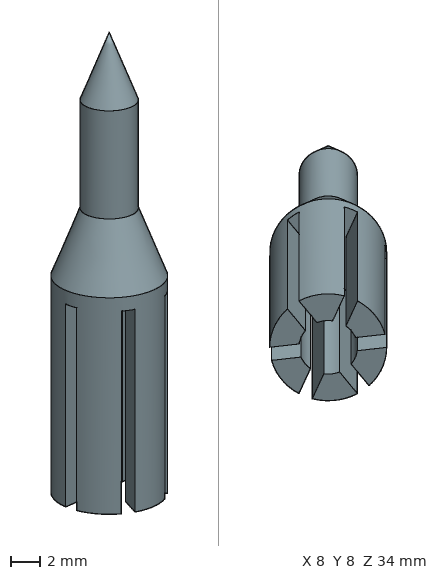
import cadquery as cq

total_height = 34.0
body_diameter = 8.0
cone_height = 5.0
shaft_height = 8.0
slot_height = 15.0
slot_width = 1.0
slot_count = 6

body_radius = body_diameter / 2
shaft_radius = body_radius / 2
bore_radius = body_radius / 2
body_height = total_height - 2 * cone_height - shaft_height
shaft_bottom = body_height + cone_height
shaft_top = shaft_bottom + shaft_height


def make_turned_body():
    """Solid of revolution: wide body, shoulder cone, slim shaft and pointed tip."""
    return (
        cq.Workplane("XZ")
        .moveTo(0, 0)
        .lineTo(body_radius, 0)
        .lineTo(body_radius, body_height)
        .lineTo(shaft_radius, shaft_bottom)
        .lineTo(shaft_radius, shaft_top)
        .lineTo(0, total_height)
        .close()
        .revolve(360, (0, 0, 0), (0, 1, 0))
    )


def make_bore():
    """Blind bore from the bottom, as deep as the slots."""
    return cq.Workplane("XY").circle(bore_radius).extrude(slot_height)


def make_slot(angle):
    """Radial slot from the axis out past the wall, open at the bottom."""
    return (
        cq.Workplane("XY")
        .box(body_diameter, slot_width, slot_height, centered=(False, True, False))
        .rotate((0, 0, 0), (0, 0, 1), angle)
    )


result = make_turned_body().cut(make_bore())
for index in range(slot_count):
    result = result.cut(make_slot(index * 360 / slot_count))